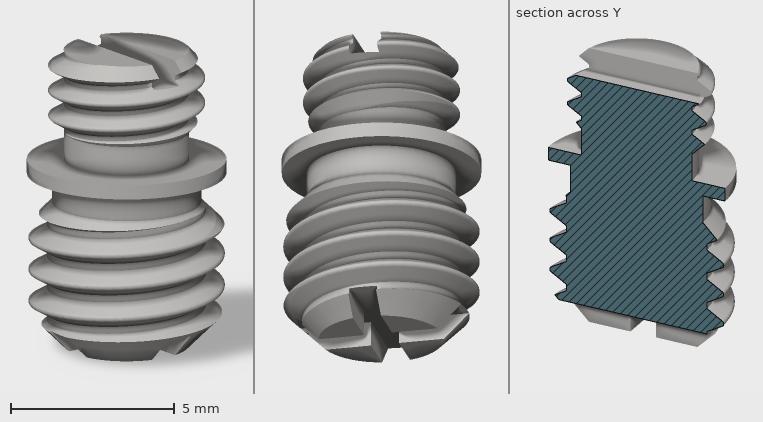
import cadquery as cq
import math

LOWER_THREAD_LENGTH = 4.55
LOWER_NECK_LENGTH = 0.9
FLANGE_THICKNESS = 0.45
UPPER_NECK_LENGTH = 0.9
UPPER_THREAD_LENGTH = 2.55

LOWER_NECK_Z = LOWER_THREAD_LENGTH
FLANGE_Z = LOWER_NECK_Z + LOWER_NECK_LENGTH
UPPER_NECK_Z = FLANGE_Z + FLANGE_THICKNESS
UPPER_THREAD_Z = UPPER_NECK_Z + UPPER_NECK_LENGTH
TOP_Z = UPPER_THREAD_Z + UPPER_THREAD_LENGTH

LOWER_NECK_DIAMETER = 4.57
FLANGE_DIAMETER = 6.1
UPPER_NECK_DIAMETER = 3.83
END_FACE_DIAMETER = UPPER_NECK_DIAMETER

LOWER_MAJOR_DIAMETER = 6.0
LOWER_MINOR_DIAMETER = 4.86
LOWER_PITCH = 1.0

UPPER_MAJOR_DIAMETER = 4.8
UPPER_MINOR_DIAMETER = UPPER_NECK_DIAMETER
UPPER_PITCH = 0.8

HALF_FLANK_ANGLE = math.radians(30)
CREST_RADIUS_RATIO = math.sqrt(3) / 16
RIDGE_EMBED = 0.05
ENVELOPE_CLEARANCE = 0.2
SPARE_TURNS = 1
SEAM_ANGLE = -90

SLOT_WIDTH = 0.88
SLOT_DEPTH = 0.77


def cylinder(diameter, base_z, length):
    return cq.Workplane("XY").workplane(offset=base_z).circle(diameter / 2).extrude(length)


def tapered_envelope(major_diameter, bottom_diameter, top_diameter, base_z, length):
    """Body with a 45 degree cone at each end, slightly wider in the middle than the thread."""
    widest = major_diameter / 2 + ENVELOPE_CLEARANCE
    bottom = bottom_diameter / 2
    top = top_diameter / 2
    outline = [
        (0, base_z),
        (bottom, base_z),
        (widest, base_z + widest - bottom),
        (widest, base_z + length - (widest - top)),
        (top, base_z + length),
        (0, base_z + length),
    ]
    envelope = cq.Workplane("XZ").polyline(outline).close().revolve(360, (0, 0), (0, 1))
    return envelope.rotate((0, 0, 0), (0, 0, 1), SEAM_ANGLE)


def thread_ridge(major_diameter, minor_diameter, pitch, start_z, turns):
    """Right-hand helical ridge with a rounded crest, climbing from start_z on the -Y side."""
    base = minor_diameter / 2 - RIDGE_EMBED
    crest = major_diameter / 2
    crest_radius = CREST_RADIUS_RATIO * pitch
    tangent = crest - crest_radius * (1 - math.sin(HALF_FLANK_ANGLE))
    tangent_half_width = crest_radius * math.cos(HALF_FLANK_ANGLE)
    base_half_width = tangent_half_width + (tangent - base) * math.tan(HALF_FLANK_ANGLE)
    section = (
        cq.Workplane("XZ")
        .moveTo(base, -base_half_width)
        .lineTo(tangent, -tangent_half_width)
        .threePointArc((crest, 0), (tangent, tangent_half_width))
        .lineTo(base, base_half_width)
        .close()
    )
    helix = cq.Wire.makeHelix(pitch, pitch * turns, base)
    ridge = section.sweep(cq.Workplane(helix), isFrenet=True)
    return ridge.rotate((0, 0, 0), (0, 0, 1), SEAM_ANGLE).translate((0, 0, start_z))


def threaded_section(major_diameter, minor_diameter, pitch, ridge_z, envelope):
    """Core and ridge trimmed to the envelope; a ridge crest crosses the -Y side at ridge_z."""
    bounds = envelope.val().BoundingBox()
    turns_below = math.ceil((ridge_z - bounds.zmin) / pitch) + SPARE_TURNS
    turns_above = math.ceil((bounds.zmax - ridge_z) / pitch) + SPARE_TURNS
    start_z = ridge_z - turns_below * pitch
    turns = turns_below + turns_above
    core = cylinder(minor_diameter, start_z, turns * pitch).rotate((0, 0, 0), (0, 0, 1), SEAM_ANGLE)
    ridge = thread_ridge(major_diameter, minor_diameter, pitch, start_z, turns)
    return core.union(ridge).intersect(envelope)


def lower_thread():
    """Thread with the middle of a root on the bottom face at the -Y side."""
    envelope = tapered_envelope(
        LOWER_MAJOR_DIAMETER, END_FACE_DIAMETER, LOWER_NECK_DIAMETER, 0, LOWER_THREAD_LENGTH
    )
    return threaded_section(
        LOWER_MAJOR_DIAMETER, LOWER_MINOR_DIAMETER, LOWER_PITCH, LOWER_PITCH / 2, envelope
    )


def upper_thread():
    """Thread with the middle of a root on the top face at the -Y side."""
    envelope = tapered_envelope(
        UPPER_MAJOR_DIAMETER, UPPER_NECK_DIAMETER, END_FACE_DIAMETER, UPPER_THREAD_Z, UPPER_THREAD_LENGTH
    )
    return threaded_section(
        UPPER_MAJOR_DIAMETER, UPPER_MINOR_DIAMETER, UPPER_PITCH, TOP_Z - UPPER_PITCH / 2, envelope
    )


def slot(length_x, length_y, centre_z):
    """Slot cutter that reaches one slot depth to either side of centre_z."""
    return cq.Workplane("XY").box(length_x, length_y, 2 * SLOT_DEPTH).translate((0, 0, centre_z))


body = (
    lower_thread()
    .union(cylinder(LOWER_NECK_DIAMETER, LOWER_NECK_Z, LOWER_NECK_LENGTH))
    .union(cylinder(FLANGE_DIAMETER, FLANGE_Z, FLANGE_THICKNESS))
    .union(cylinder(UPPER_NECK_DIAMETER, UPPER_NECK_Z, UPPER_NECK_LENGTH))
    .union(upper_thread())
)

slot_length = FLANGE_DIAMETER
result = (
    body.cut(slot(slot_length, SLOT_WIDTH, TOP_Z))
    .cut(slot(slot_length, SLOT_WIDTH, 0))
    .cut(slot(SLOT_WIDTH, slot_length, 0))
)